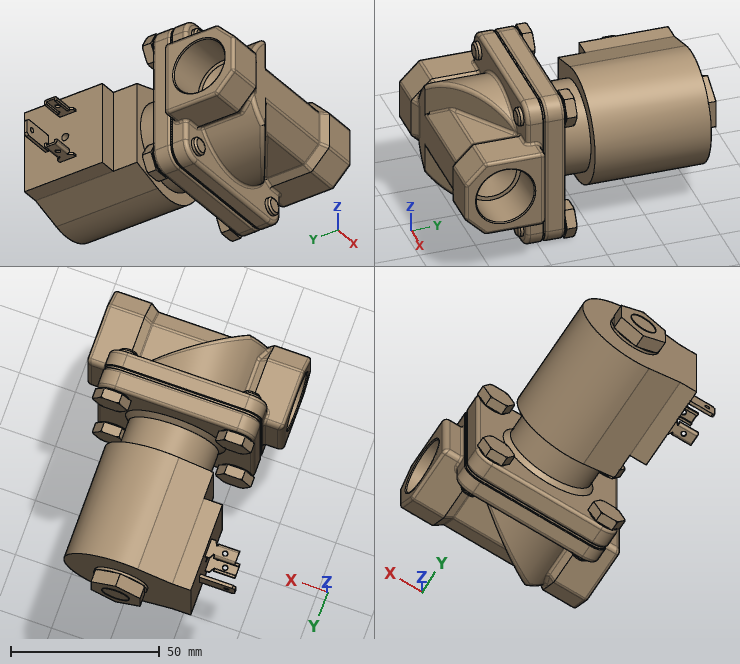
import cadquery as cq
import math


port_end = 35.02
block_inner = 21.9
block_half_width = 14.0
block_bottom = -14.2
block_top = 14.5
block_top_round = 1.9
block_end_round = 1.1
passage_half_length = 18.8
passage_half_width = 12.3
passage_bottom = -12.2
outlet_start = -11.8
flat_half_width = 6.9
passage_flat_half_width = 6.2
corner_round = 1.4

port_radius = 10.3
port_depth = 14.7
port_mouth_chamfer = 0.4
port_cone_radius = 8.8
port_cone_depth = 5.1

dome_radius = 22.5
dome_round = 1.4
root_round = 1.0
flange_root_round = 0.9
dome_cut_start = -13.3
dome_cut_angle = 35.0

flange_width = 56.0
flange_corner_radius = 6.3
flange_bottom = 9.8
flange_top = 15.9
flange_bottom_round = 1.4
flange_top_chamfer = 0.3
diaphragm_inset = 0.5
bonnet_bottom = 16.6
bonnet_top = 23.7
bonnet_bottom_round = 0.9
bonnet_top_round = 1.2

bolt_offset = 21.9
bolt_radius = 3.18
bolt_end = 8.0
bolt_end_chamfer = 0.7
bolt_head_bottom = 24.1
bolt_head_top = 27.7
bolt_head_corner_radius = 6.4
bolt_head_chamfer = 0.4
bolt_seat_radius = 5.3

collar_radius = 16.1
collar_root = 1.8
coil_bottom = 36.6
coil_top = 77.9
coil_radius = 20.5
coil_back = -18.2
coil_half_width = 15.92
connector_back = -24.8
connector_bottom = 46.2

nut_bottom = 78.9
nut_top = 83.52
nut_across_flats = 17.4
washer_radius = 9.5
cap_radius = 4.9
cap_top = 83.8

terminal_half_width = 3.2
ground_tip = -37.38
ground_y = 68.8
ground_thickness = 1.2
ground_corner = 0.9
pin_tip = -35.1
pin_y = 60.3
pin_outer_z = 9.5
pin_thickness = 0.8
pin_half_width = 2.5
pin_neck_half_width = 1.6
pin_lip_width = 0.9
pin_lip_height = 0.9
pin_edge_round = 0.9
pin_lip_end = -27.5
pin_neck_end = -27.2
pin_root_start = -26.3
terminal_hole_radius = 0.9
ground_hole_from_tip = 2.9
pin_hole_from_tip = 4.3
terminal_embed = 1.0
screw_hole_y = 61.3
screw_hole_radius = 1.4
screw_hole_depth = 7.8

selection_slack = 0.1
taper_end_margin = 0.5


def at_height(y):
    """Workplane facing +Y at height y; local x is X and local y is Z."""
    return cq.Workplane(cq.Plane(origin=(0, y, 0), xDir=(1, 0, 0), normal=(0, 1, 0)))


def disc(radius, bottom, top):
    return at_height(bottom).circle(radius).extrude(top - bottom)


def square_plate(width, corner_radius, bottom, top):
    plate = at_height(bottom).rect(width, width).extrude(top - bottom)
    return plate.edges("|Y").fillet(corner_radius)


def box(x_range, y_range, z_range):
    size = [high - low for low, high in (x_range, y_range, z_range)]
    corner = (x_range[0], y_range[0], z_range[0])
    return cq.Workplane("XY").box(*size, centered=False).translate(corner)


def passage_section(x, half_width, bottom, flat_half):
    """Section across X with 45 degree chamfers along its lower edges."""
    chamfer_top = bottom + half_width - flat_half
    outline = [
        (block_top, half_width), (chamfer_top, half_width), (bottom, flat_half),
        (bottom, -flat_half), (chamfer_top, -half_width), (block_top, -half_width),
    ]
    section = cq.Sketch().polygon(outline + outline[:1])
    section = section.vertices("not >X").fillet(corner_round)
    return section.moved(cq.Location(cq.Vector(0, 0, x)))


block_shape = (block_half_width, block_bottom, flat_half_width)
passage_shape = (passage_half_width, passage_bottom, passage_flat_half_width)


def port_block():
    """Port block at the +X end."""
    section = passage_section(block_inner, *block_shape)
    block = cq.Workplane("YZ").placeSketch(section).extrude(port_end - block_inner)
    block = block.faces(">X").edges("not >Y").fillet(block_end_round)
    return block.faces(">Y").edges("not <X").fillet(block_top_round)


def taper():
    """Transition from the passage to the port block at the +X end."""
    inner = passage_section(passage_half_length, *passage_shape)
    outer = passage_section(block_inner, *block_shape)
    return cq.Workplane("YZ").placeSketch(inner, outer).loft(ruled=True)


def port_hole():
    """Threaded port with a conical bottom at the +X end."""
    floor = port_end - port_depth
    profile = [
        (port_end, 0), (port_end, port_radius + port_mouth_chamfer),
        (port_end - port_mouth_chamfer, port_radius), (floor, port_radius),
        (floor, port_cone_radius), (floor - port_cone_depth, 0),
    ]
    return cq.Workplane("XY").polyline(profile).close().revolve(360, (0, 0, 0), (1, 0, 0))


def dome():
    """Round seat housing, cut away on the outlet side by a sloping plane."""
    dome_top = flange_top
    housing = disc(dome_radius, passage_bottom, dome_top)
    rise = dome_top - passage_bottom
    cut_end = dome_cut_start + rise / math.tan(math.radians(dome_cut_angle))
    wedge = (
        cq.Workplane("XY")
        .polyline([(dome_cut_start, passage_bottom), (cut_end, dome_top),
                   (cut_end, passage_bottom)])
        .close()
        .extrude(dome_radius, both=True)
    )
    housing = housing.cut(wedge)
    outer_edges = housing.edges("<Y or %ELLIPSE").edges("not %LINE")
    return outer_edges.fillet(dome_round)


def body_flange():
    flange = square_plate(flange_width, flange_corner_radius, flange_bottom, flange_top)
    flange = flange.faces("<Y").edges().fillet(flange_bottom_round)
    return flange.faces(">Y").edges().chamfer(flange_top_chamfer)


def passage(start, end):
    section = passage_section(start, *passage_shape)
    return cq.Workplane("YZ").placeSketch(section).extrude(end - start)


def seat_and_outlet():
    """Dome with the outlet passage, rounded where the passage leaves the cut."""
    joined = dome().union(passage(outlet_start, block_inner))
    cut_normal = cq.Vector(
        math.sin(math.radians(dome_cut_angle)), -math.cos(math.radians(dome_cut_angle)), 0
    )
    cut_faces = joined.faces(cq.selectors.ParallelDirSelector(cut_normal))
    return cut_faces.edges("%LINE and (not |Z)").fillet(root_round)


def on_dome_inlet(edge):
    """True for an edge on the dome wall inside the taper of the inlet block."""
    middle = edge.positionAt(0.5)
    on_wall = abs(math.hypot(middle.x, middle.z) - dome_radius) < selection_slack
    return on_wall and -block_inner < middle.x < -passage_half_length


def flange_root(side):
    """Selects the edges where the flange meets one port block and its taper."""
    near = side * (passage_half_length + taper_end_margin)
    far = side * flange_width / 2
    return cq.selectors.BoxSelector(
        (near, flange_bottom - selection_slack, -block_half_width - selection_slack),
        (far, flange_bottom + selection_slack, block_half_width + selection_slack),
    )


def body():
    outlet = port_block().union(taper())
    casting = seat_and_outlet().union(passage(-passage_half_length, passage_half_length))
    casting = casting.union(outlet).union(outlet.mirror("YZ"))
    casting = casting.edges().filter(on_dome_inlet).fillet(root_round)
    casting = casting.union(body_flange())
    for side in (1, -1):
        casting = casting.edges(flange_root(side)).fillet(flange_root_round)
    return casting


def bonnet():
    """Diaphragm edge, bonnet plate and the collar that carries the coil."""
    inset_width = flange_width - 2 * diaphragm_inset
    inset_corner = flange_corner_radius - diaphragm_inset
    diaphragm = square_plate(inset_width, inset_corner, flange_top, bonnet_bottom)
    plate = square_plate(flange_width, flange_corner_radius, bonnet_bottom, bonnet_top)
    plate = plate.faces(">Y").edges().fillet(bonnet_top_round)
    plate = plate.faces("<Y").edges().fillet(bonnet_bottom_round)
    root = at_height(bonnet_top).circle(collar_radius + collar_root).extrude(collar_root, taper=45)
    collar = disc(collar_radius, bonnet_top, coil_bottom)
    return diaphragm.union(plate).union(root).union(collar)


def hexagon(corner_radius, bottom, top):
    """Hexagonal prism along Y with two corners on the X direction."""
    return at_height(bottom).polygon(6, 2 * corner_radius).extrude(top - bottom)


def bolt():
    shank = disc(bolt_radius, bolt_end, bonnet_top)
    shank = shank.faces("<Y").edges().chamfer(bolt_end_chamfer)
    seat = disc(bolt_seat_radius, bonnet_top, bolt_head_bottom)
    head = hexagon(bolt_head_corner_radius, bolt_head_bottom, bolt_head_top)
    turned = disc(bolt_head_corner_radius, bolt_head_bottom, bolt_head_top)
    head = head.intersect(turned.faces(">Y").edges().chamfer(bolt_head_chamfer))
    return shank.union(seat).union(head)


def coil():
    """Round coil whose sides run tangent to a narrower flat back."""
    corner_distance = math.hypot(coil_back, coil_half_width)
    corner_angle = math.atan2(coil_half_width, coil_back)
    tangent_angle = corner_angle - math.acos(coil_radius / corner_distance)
    tangent_x = coil_radius * math.cos(tangent_angle)
    tangent_z = coil_radius * math.sin(tangent_angle)
    winding = (
        at_height(coil_bottom)
        .moveTo(coil_back, -coil_half_width)
        .lineTo(tangent_x, -tangent_z)
        .threePointArc((coil_radius, 0), (tangent_x, tangent_z))
        .lineTo(coil_back, coil_half_width)
        .close()
        .extrude(coil_top - coil_bottom)
    )
    connector = box(
        (connector_back, coil_back), (connector_bottom, coil_top),
        (-coil_half_width, coil_half_width),
    )
    return winding.union(connector)


def nut():
    washer = disc(washer_radius, coil_top, nut_bottom)
    hexagonal = hexagon(nut_across_flats / math.sqrt(3), nut_bottom, nut_top)
    hexagonal = hexagonal.rotate((0, 0, 0), (0, 1, 0), 90)
    return washer.union(hexagonal).union(disc(cap_radius, nut_top, cap_top))


def ground_terminal():
    """Flat blade lying across Y."""
    blade = box(
        (ground_tip, connector_back + terminal_embed),
        (ground_y - ground_thickness / 2, ground_y + ground_thickness / 2),
        (-terminal_half_width, terminal_half_width),
    )
    blade = blade.faces("<X").edges("|Y").chamfer(ground_corner)
    hole_x = ground_tip + ground_hole_from_tip
    hole = disc(terminal_hole_radius, 0, coil_top).translate((hole_x, 0, 0))
    return blade.cut(hole)


def pin_terminal():
    """Pin on the +Z side: a necked plate with lips folded towards the middle."""
    pin_inner_z = pin_outer_z - pin_thickness
    half_outline = [
        (pin_tip, pin_half_width), (pin_lip_end, pin_half_width),
        (pin_lip_end, pin_neck_half_width), (pin_neck_end, pin_neck_half_width),
        (pin_root_start, terminal_half_width),
        (connector_back + terminal_embed, terminal_half_width),
    ]
    mirrored = [(x, -y) for x, y in reversed(half_outline)]
    hole_x = pin_tip + pin_hole_from_tip
    hole = cq.Workplane("XY").center(hole_x, 0).circle(terminal_hole_radius).extrude(pin_thickness)
    plate = cq.Workplane("XY").polyline(half_outline + mirrored).close().extrude(pin_thickness)
    pin = plate.cut(hole).translate((0, pin_y, pin_inner_z))
    lip_offset = pin_half_width - pin_lip_width / 2
    lip_middle_x = (pin_tip + pin_lip_end) / 2
    for side in (-1, 1):
        lip_y = pin_y + side * lip_offset
        lip = box(
            (pin_tip, pin_lip_end), (lip_y - pin_lip_width / 2, lip_y + pin_lip_width / 2),
            (pin_inner_z - pin_lip_height, pin_inner_z),
        )
        fold = (lip_middle_x, pin_y + side * pin_half_width, pin_outer_z)
        pin = pin.union(lip)
        pin = pin.edges(cq.selectors.NearestToPointSelector(fold)).fillet(pin_edge_round)
    return pin


def screw_hole():
    """Blind hole in the back of the connector, with a pointed bottom."""
    floor = connector_back + screw_hole_depth
    profile = [
        (connector_back, 0), (connector_back, screw_hole_radius),
        (floor, screw_hole_radius), (floor + screw_hole_radius, 0),
    ]
    hole = cq.Workplane("XY").polyline(profile).close().revolve(360, (0, 0, 0), (1, 0, 0))
    return hole.translate((0, screw_hole_y, 0))


result = body().union(bonnet()).union(coil()).union(nut())
for x in (-bolt_offset, bolt_offset):
    for z in (-bolt_offset, bolt_offset):
        result = result.union(bolt().translate((x, 0, z)))
result = result.union(ground_terminal()).union(pin_terminal()).union(pin_terminal().mirror("XY"))
result = result.cut(port_hole()).cut(port_hole().mirror("YZ")).cut(screw_hole())